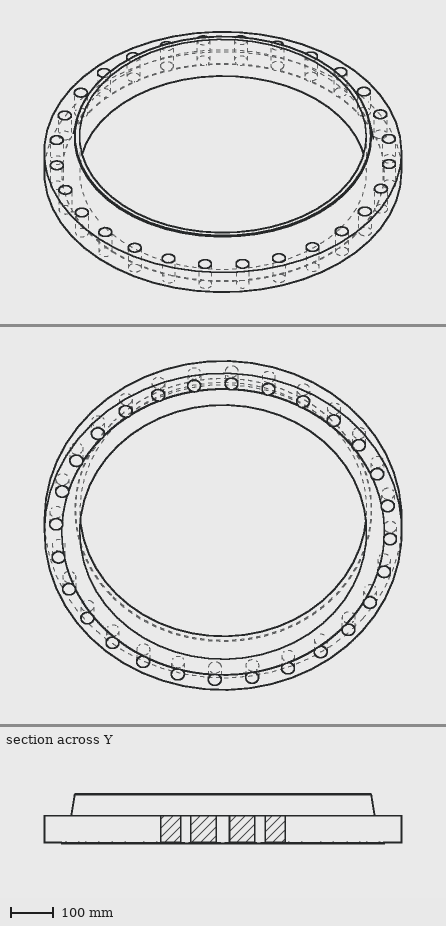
import cadquery as cq
import math

flange_diameter = 832.0
total_height = 116.0
bore_diameter = 667.0

raised_face_diameter = 750.0
raised_face_height = 2.5

flange_thickness = 62.0
neck_base_diameter = 707.0
neck_top_diameter = 691.0
neck_fillet_radius = 2.0

bevel_width = 2.0
bevel_height = 2.5

bolt_count = 28
bolt_circle_diameter = 777.5
bolt_hole_diameter = 30.0

flange_top = raised_face_height + flange_thickness
bevel_start = total_height - bevel_height


def ring_body():
    """Revolve the half section, drawn as (radius, height), around Z."""
    bore_radius = bore_diameter / 2
    flange_radius = flange_diameter / 2
    raised_face_radius = raised_face_diameter / 2
    neck_base_radius = neck_base_diameter / 2
    neck_top_radius = neck_top_diameter / 2

    taper_angle = math.atan2(bevel_start - flange_top, neck_base_radius - neck_top_radius)
    tangent_length = neck_fillet_radius * math.tan(taper_angle / 2)
    fillet_start = (neck_base_radius + tangent_length, flange_top)
    fillet_end = (
        neck_base_radius - tangent_length * math.cos(taper_angle),
        flange_top + tangent_length * math.sin(taper_angle),
    )

    section = (
        cq.Workplane("XZ")
        .moveTo(bore_radius, 0)
        .lineTo(raised_face_radius, 0)
        .lineTo(raised_face_radius, raised_face_height)
        .lineTo(flange_radius, raised_face_height)
        .lineTo(flange_radius, flange_top)
        .lineTo(*fillet_start)
        .tangentArcPoint(fillet_end, relative=False)
        .lineTo(neck_top_radius, bevel_start)
        .lineTo(neck_top_radius - bevel_width, total_height)
        .lineTo(bore_radius, total_height)
        .close()
    )
    return section.revolve(360, (0, 0), (0, 1))


def bolt_holes():
    """Through-hole cutters, the first one on the +X axis."""
    return (
        cq.Workplane("XY")
        .polarArray(bolt_circle_diameter / 2, 0, 360, bolt_count)
        .circle(bolt_hole_diameter / 2)
        .extrude(total_height)
    )


result = ring_body().cut(bolt_holes())